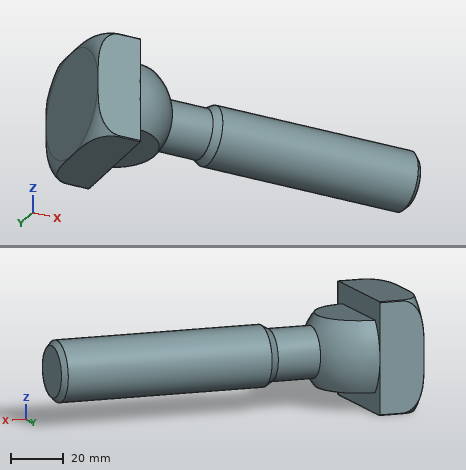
import cadquery as cq
import math

total_length = 143.0

head_width = 44.0
head_length = 18.0
corner_round = 8.9
turned_radius = head_width / 2 + corner_round

ball_radius = head_width / 2
ball_flat_height = 28.0

neck_diameter = 20.3
shank_diameter = 24.0
neck_end = 54.8
shoulder_slope = math.radians(30)
shoulder_rise = (shank_diameter - neck_diameter) / 2
shoulder_length = shoulder_rise / math.tan(shoulder_slope)
tip_chamfer = 2.0


def make_head():
    """Square block trimmed by a turned blank with a rounded front rim."""
    block = cq.Workplane("YZ").rect(head_width, head_width).extrude(head_length)
    blank = (
        cq.Workplane("YZ")
        .circle(turned_radius)
        .extrude(head_length)
        .faces("<X")
        .edges()
        .fillet(corner_round)
    )
    return block.intersect(blank)


def make_ball():
    """Half ball centred on the back of the head, cut to the flat height."""
    half_ball = (
        cq.Workplane("XY")
        .moveTo(head_length, 0)
        .lineTo(head_length, ball_radius)
        .radiusArc((head_length + ball_radius, 0), ball_radius)
        .close()
        .revolve(360, (0, 0, 0), (1, 0, 0))
    )
    slab = cq.Workplane("XY").box(
        ball_radius, head_width, ball_flat_height, centered=(False, True, True)
    )
    return half_ball.intersect(slab.translate((head_length, 0, 0)))


def make_stem():
    """Neck, tapered shoulder and chamfered shank as one turned shape."""
    neck_radius = neck_diameter / 2
    shank_radius = shank_diameter / 2
    return (
        cq.Workplane("XY")
        .moveTo(head_length, 0)
        .lineTo(head_length, neck_radius)
        .lineTo(neck_end, neck_radius)
        .lineTo(neck_end + shoulder_length, shank_radius)
        .lineTo(total_length - tip_chamfer, shank_radius)
        .lineTo(total_length, shank_radius - tip_chamfer)
        .lineTo(total_length, 0)
        .close()
        .revolve(360, (0, 0, 0), (1, 0, 0))
    )


result = make_head().union(make_ball()).union(make_stem())